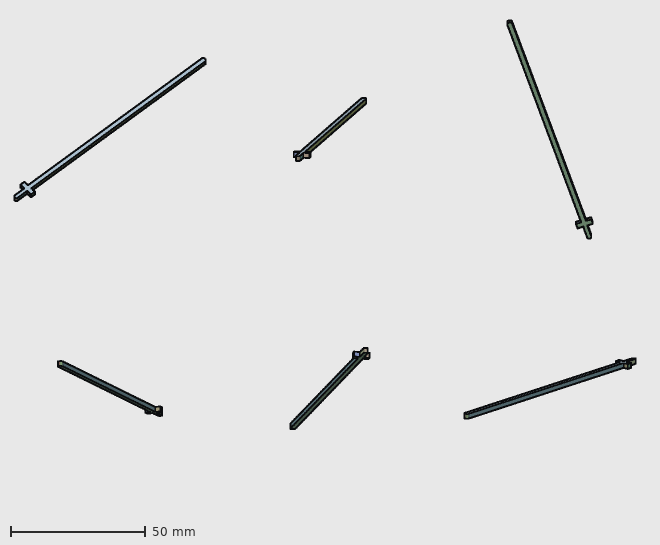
import cadquery as cq

length = 95.0
thickness = 1.9
crossbar_width = 6.0

shaft_width = 1.9
shaft_end_radius = 0.8
crossbar_depth = 2.0
tip_length = 5.5
tip_width = 1.6

front_end = -length / 2
back_end = length / 2
crossbar_front = front_end + tip_length
crossbar_back = crossbar_front + crossbar_depth
tip_radius = tip_width / 2


def bar(width, start, end):
    """Flat bar centred on X and Z, running along Y from start to end."""
    return cq.Workplane("XY").box(width, end - start, thickness).translate((0, (start + end) / 2, 0))


shaft = bar(shaft_width, crossbar_front, back_end)
shaft = shaft.faces(">Y").edges("|Z").fillet(shaft_end_radius)

crossbar = bar(crossbar_width, crossbar_front, crossbar_back)

tip_centre = front_end + tip_radius
tip = bar(tip_width, tip_centre, crossbar_back)
tip_nose = (
    cq.Workplane("XY", origin=(0, tip_centre, -thickness / 2))
    .circle(tip_radius)
    .extrude(thickness)
)

result = shaft.union(crossbar).union(tip).union(tip_nose)